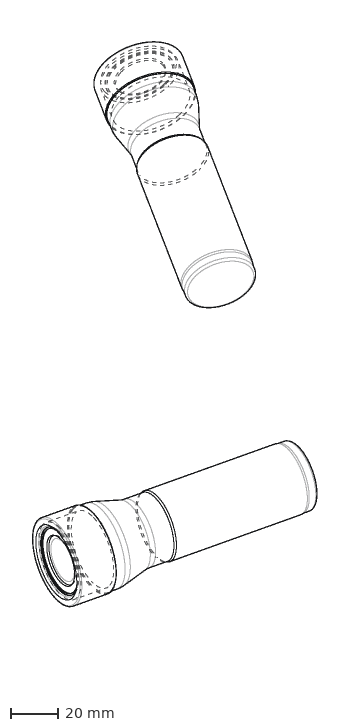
import cadquery as cq
import math

LENGTH = 119.9

BEZEL_RADIUS = 39.9 / 2
BEZEL_LENGTH = 17.9
BEZEL_FRONT_ROUND = 0.6
BEZEL_REAR_CHAMFER = 0.4
MOUTH_RADIUS = 16.8
MOUTH_TAPER_RADIUS = 15.8
MOUTH_TAPER_DEPTH = 1.0
LIP_RADIUS = 15.2
LIP_DEPTH = 1.4

SPIGOT_RADIUS = 17.4

LENS_RIM_RADIUS = 14.5
LENS_RIM_DEPTH = 1.8
LENS_RING_DEPTH = 2.2
LENS_STEP_RADIUS = 11.4
LENS_INNER_RADIUS = 11.0
LENS_INNER_DEPTH = 3.0
LENS_FLOOR_RADIUS = 9.6
LENS_FLOOR_DEPTH = 3.1

COLLAR_RADIUS = 19.4
NECK_RADIUS = 31.0 / 2
TAPER_START = 22.3
TAPER_END = 39.7
TAPER_ANGLE = math.radians(15)

NECK_END = 48.8
GRIP_START = 49.8
GRIP_RADIUS = 32.0 / 2
GRIP_END = 114.5

TAIL_RADIUS = 31.5 / 2
TAIL_START = 115.6
TAIL_ROUND = 1.1


def revolve_about_x(profile):
    """Revolve a closed (X, radius) profile a full turn about the X axis."""
    return profile.close().revolve(360, (0, 0, 0), (1, 0, 0))


def arc_inset(radius):
    """Distance from each side of a square corner to the middle of its rounding arc."""
    return radius * (1 - math.sqrt(0.5))


def make_bezel():
    round_inset = arc_inset(BEZEL_FRONT_ROUND)
    return revolve_about_x(
        cq.Workplane("XY")
        .moveTo(0, MOUTH_RADIUS)
        .lineTo(0, BEZEL_RADIUS - BEZEL_FRONT_ROUND)
        .threePointArc(
            (round_inset, BEZEL_RADIUS - round_inset),
            (BEZEL_FRONT_ROUND, BEZEL_RADIUS),
        )
        .lineTo(BEZEL_LENGTH - BEZEL_REAR_CHAMFER, BEZEL_RADIUS)
        .lineTo(BEZEL_LENGTH, BEZEL_RADIUS - BEZEL_REAR_CHAMFER)
        .lineTo(BEZEL_LENGTH, SPIGOT_RADIUS)
        .lineTo(LENS_RIM_DEPTH, SPIGOT_RADIUS)
        .lineTo(LENS_RIM_DEPTH, LIP_RADIUS)
        .lineTo(LIP_DEPTH, LIP_RADIUS)
        .lineTo(MOUTH_TAPER_DEPTH, MOUTH_TAPER_RADIUS)
    )


def make_body():
    drop = COLLAR_RADIUS - NECK_RADIUS
    tangent = (TAPER_END - TAPER_START - drop / math.tan(TAPER_ANGLE)) / 2
    blend_radius = tangent / math.tan(TAPER_ANGLE / 2)

    def blend_offset(turn):
        """Axial and radial travel along a blend arc after turning by the given angle."""
        return blend_radius * math.sin(turn), blend_radius * (1 - math.cos(turn))

    mid_x, mid_r = blend_offset(TAPER_ANGLE / 2)
    end_x, end_r = blend_offset(TAPER_ANGLE)
    round_inset = arc_inset(TAIL_ROUND)

    return revolve_about_x(
        cq.Workplane("XY")
        .moveTo(LENS_FLOOR_DEPTH, 0)
        .lineTo(LENS_FLOOR_DEPTH, LENS_FLOOR_RADIUS)
        .lineTo(LENS_INNER_DEPTH, LENS_INNER_RADIUS)
        .lineTo(LENS_RING_DEPTH, LENS_STEP_RADIUS)
        .lineTo(LENS_RING_DEPTH, LENS_RIM_RADIUS)
        .lineTo(LENS_RIM_DEPTH, LENS_RIM_RADIUS)
        .lineTo(LENS_RIM_DEPTH, SPIGOT_RADIUS)
        .lineTo(BEZEL_LENGTH, SPIGOT_RADIUS)
        .lineTo(BEZEL_LENGTH, COLLAR_RADIUS)
        .lineTo(TAPER_START, COLLAR_RADIUS)
        .threePointArc(
            (TAPER_START + mid_x, COLLAR_RADIUS - mid_r),
            (TAPER_START + end_x, COLLAR_RADIUS - end_r),
        )
        .lineTo(TAPER_END - end_x, NECK_RADIUS + end_r)
        .threePointArc(
            (TAPER_END - mid_x, NECK_RADIUS + mid_r),
            (TAPER_END, NECK_RADIUS),
        )
        .lineTo(NECK_END, NECK_RADIUS)
        .lineTo(GRIP_START, GRIP_RADIUS)
        .lineTo(GRIP_END, GRIP_RADIUS)
        .lineTo(TAIL_START, TAIL_RADIUS)
        .lineTo(LENGTH - TAIL_ROUND, TAIL_RADIUS)
        .threePointArc(
            (LENGTH - round_inset, TAIL_RADIUS - round_inset),
            (LENGTH, TAIL_RADIUS - TAIL_ROUND),
        )
        .lineTo(LENGTH, 0)
    )


bezel = make_bezel()
body = make_body()
result = cq.Compound.makeCompound([bezel.val(), body.val()])